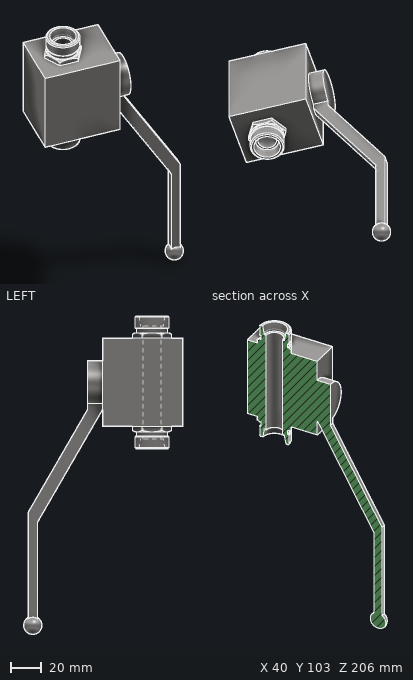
import cadquery as cq
import math

block_width = 40.0
block_depth = 52.0
block_height = 57.0
block_front = -block_width / 2
block_back = block_front + block_depth
block_top = block_height / 2

port_length = 14.5
hex_flats = 22.0
hex_height = 3.5
hex_chamfer_angle = 30
neck_diameter = 20.2
neck_height = 2.7
thread_diameter = 22.0
thread_end_chamfer = 0.8
thread_root_chamfer = 0.52

bore_diameter = 12.0
socket_diameter = 15.0
socket_depth = 6.4
mouth_diameter = 17.0
mouth_half_angle = 12

boss_diameter = 28.0
boss_length = 9.9
boss_back = block_back + boss_length
lever_width = 5.8
lever_thickness = 6.2
lever_slope_start = -17.7
lever_slope_angle = 30
total_height = 206.0
total_depth = 103.0
ball_diameter = 12.0
ball_radius = ball_diameter / 2
ball_y = block_front + total_depth - ball_radius
ball_z = block_top + port_length - total_height + ball_radius


def make_hexagon():
    """Hexagonal collar with its outer corners bevelled by a cone."""
    corner_diameter = hex_flats / math.cos(math.radians(30))
    corner_radius = corner_diameter / 2
    flat_radius = hex_flats / 2
    bevel_drop = (corner_radius - flat_radius) * math.tan(math.radians(hex_chamfer_angle))
    collar = cq.Workplane("XY").polygon(6, corner_diameter).extrude(hex_height)
    collar = collar.rotate((0, 0, 0), (0, 0, 1), 30)
    bevel_envelope = (
        cq.Workplane("XZ")
        .moveTo(0, 0)
        .lineTo(corner_radius, 0)
        .lineTo(corner_radius, hex_height - bevel_drop)
        .lineTo(flat_radius, hex_height)
        .lineTo(0, hex_height)
        .close()
        .revolve(360, (0, 0, 0), (0, 1, 0))
    )
    return collar.intersect(bevel_envelope)


def make_port():
    """Collar, neck and thread standing on the XY plane."""
    thread_start = hex_height + neck_height
    neck = cq.Workplane("XY").circle(neck_diameter / 2).extrude(thread_start)
    thread = (
        cq.Workplane("XY", origin=(0, 0, thread_start))
        .circle(thread_diameter / 2)
        .extrude(port_length - thread_start)
        .faces(">Z")
        .chamfer(thread_end_chamfer)
        .faces("<Z")
        .chamfer(thread_root_chamfer)
    )
    return make_hexagon().union(neck).union(thread)


def make_socket():
    """Cutter for the socket and its conical mouth, ending at the port face."""
    socket_radius = socket_diameter / 2
    mouth_radius = mouth_diameter / 2
    mouth_depth = (mouth_radius - socket_radius) / math.tan(math.radians(mouth_half_angle))
    return (
        cq.Workplane("XZ")
        .moveTo(0, port_length - socket_depth)
        .lineTo(socket_radius, port_length - socket_depth)
        .lineTo(socket_radius, port_length - mouth_depth)
        .lineTo(mouth_radius, port_length)
        .lineTo(0, port_length)
        .close()
        .revolve(360, (0, 0, 0), (0, 1, 0))
    )


def at_both_ends(shape):
    """Copies of a shape on the top and bottom faces of the block."""
    upper = shape.translate((0, 0, block_top))
    return upper.union(upper.mirror("XY"))


def make_lever():
    """Flat bar that leaves the boss, slopes outward and ends in a ball."""
    lever_outer = ball_y + lever_thickness / 2
    lever_inner = ball_y - lever_thickness / 2
    slope = math.tan(math.radians(lever_slope_angle))
    outer_bend = lever_slope_start - (lever_outer - boss_back) / slope
    inner_bend = lever_slope_start - (lever_inner - block_back) / slope
    bar = (
        cq.Workplane("YZ")
        .polyline([
            (block_back, 0),
            (boss_back, 0),
            (boss_back, lever_slope_start),
            (lever_outer, outer_bend),
            (lever_outer, ball_z),
            (lever_inner, ball_z),
            (lever_inner, inner_bend),
            (block_back, lever_slope_start),
        ])
        .close()
        .extrude(lever_width / 2, both=True)
    )
    ball = cq.Workplane("XY").sphere(ball_radius).translate((0, ball_y, ball_z))
    return bar.union(ball)


block = cq.Workplane("XY").box(block_width, block_depth, block_height)
block = block.translate((0, (block_front + block_back) / 2, 0))
boss = cq.Workplane("XZ", origin=(0, block_back, 0)).circle(boss_diameter / 2).extrude(-boss_length)
bore = cq.Workplane("XY").circle(bore_diameter / 2).extrude(block_top + port_length, both=True)

result = (
    block.union(boss)
    .union(make_lever())
    .union(at_both_ends(make_port()))
    .cut(bore)
    .cut(at_both_ends(make_socket()))
)